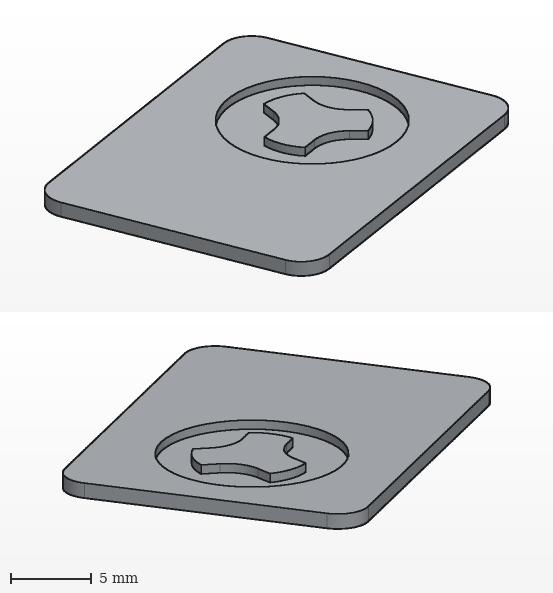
import cadquery as cq

PLATE_WIDTH = 20.0
PLATE_LENGTH = 26.0
PLATE_THICKNESS = 1.0
CORNER_RADIUS = 2.0

RECESS_RADIUS = 6.0
RECESS_CENTRE_Y = 4.5
RECESS_DEPTH = 0.6

ARM_COUNT = 3
ARM_WIDTH = 2.9
ISLAND_RADIUS = 3.75
ARM_FILLET = 2.5
FIRST_ARM_ANGLE = -90.0

RECESS_FLOOR = PLATE_THICKNESS - RECESS_DEPTH


def make_plate():
    """Flat plate with rounded vertical corners."""
    return (
        cq.Workplane("XY")
        .rect(PLATE_WIDTH, PLATE_LENGTH)
        .extrude(PLATE_THICKNESS)
        .edges("|Z")
        .fillet(CORNER_RADIUS)
    )


def recess_disc(radius):
    """Disc on the recess axis, from the recess floor to the top face."""
    return (
        cq.Workplane("XY", origin=(0, RECESS_CENTRE_Y, RECESS_FLOOR))
        .circle(radius)
        .extrude(RECESS_DEPTH)
    )


def make_arm(angle):
    """Straight bar running from the recess axis past the island rim."""
    bar_length = RECESS_RADIUS
    axis_point = (0, RECESS_CENTRE_Y, RECESS_FLOOR)
    return (
        cq.Workplane("XY", origin=axis_point)
        .transformed(rotate=(0, 0, angle))
        .center(bar_length / 2, 0)
        .rect(bar_length, ARM_WIDTH)
        .extrude(RECESS_DEPTH)
    )


def make_island():
    """Three equal arms, blended where they meet and rounded off at the tips."""
    island = make_arm(FIRST_ARM_ANGLE)
    for index in range(1, ARM_COUNT):
        island = island.union(make_arm(FIRST_ARM_ANGLE + index * 360 / ARM_COUNT))

    corner_zone = cq.selectors.BoxSelector(
        (-ARM_WIDTH, RECESS_CENTRE_Y - ARM_WIDTH, 0),
        (ARM_WIDTH, RECESS_CENTRE_Y + ARM_WIDTH, PLATE_THICKNESS),
    )
    island = island.edges("|Z").edges(corner_zone).fillet(ARM_FILLET)
    return island.intersect(recess_disc(ISLAND_RADIUS))


recess = recess_disc(RECESS_RADIUS).cut(make_island())
result = make_plate().cut(recess)